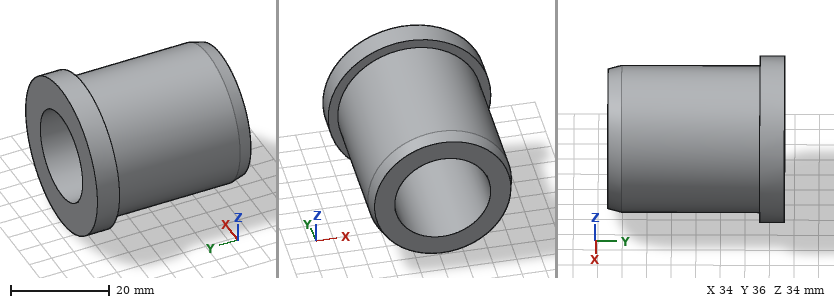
import cadquery as cq
import math

total_length = 36.0
flange_diameter = 34.0
flange_thickness = 5.0
body_diameter = 30.0
bore_diameter = 20.0
lead_in_length = 2.8
lead_in_angle = 15.0

flange_radius = flange_diameter / 2
body_radius = body_diameter / 2
bore_radius = bore_diameter / 2
tip_radius = body_radius - lead_in_length * math.tan(math.radians(lead_in_angle))
flange_start = total_length - flange_thickness

half_section = (
    cq.Workplane("XY")
    .moveTo(bore_radius, 0)
    .lineTo(tip_radius, 0)
    .lineTo(body_radius, lead_in_length)
    .lineTo(body_radius, flange_start)
    .lineTo(flange_radius, flange_start)
    .lineTo(flange_radius, total_length)
    .lineTo(bore_radius, total_length)
    .close()
)

result = half_section.revolve(360, (0, 0, 0), (0, 1, 0))